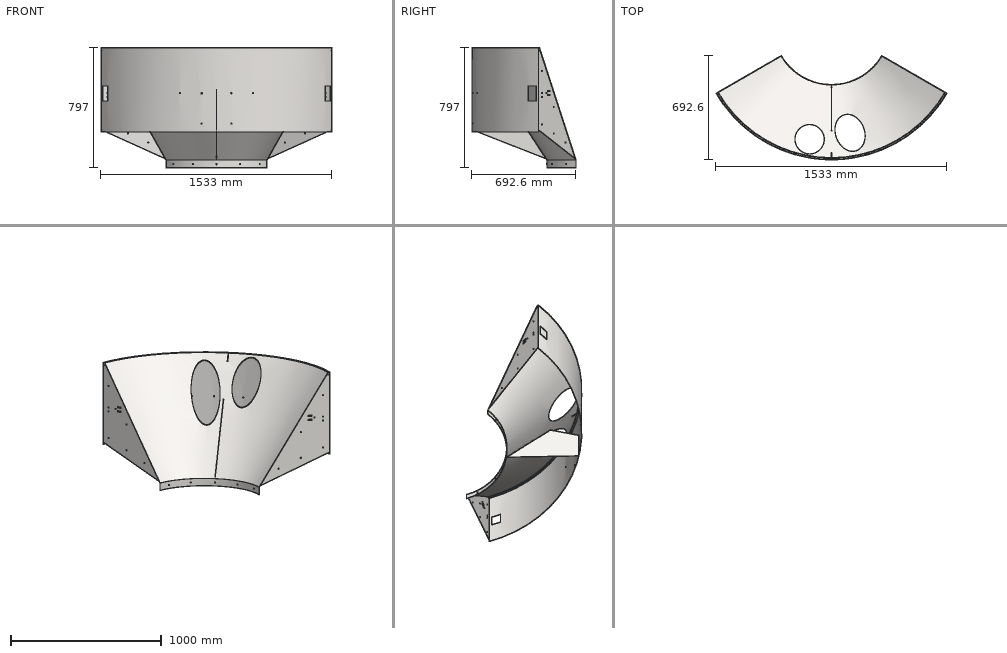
import cadquery as cq
import math

overall_width = 1533.0
overall_height = 797.0
half_angle = 60.0
wall_height = 560.0
collar_height = 50.0
collar_inner_radius = 385.0
sheet = 3.0
cone_level_thickness = 3.0
ring_width = 9.0
plate_top_gap = 18.0
underside_foot = 9.0
underside_angle = 21.4
screw_diameter = 6.0

wall_radius = overall_width / 2 / math.sin(math.radians(half_angle))
wall_inner_radius = wall_radius - sheet
wall_bottom = overall_height - wall_height
collar_radius = collar_inner_radius + sheet
ring_inner_radius = wall_inner_radius - ring_width
ring_bottom = overall_height - sheet
plate_top = overall_height - plate_top_gap
cone_foot_radius = collar_inner_radius + cone_level_thickness
cone_run = (ring_inner_radius - cone_foot_radius) / (overall_height - collar_height)
plate_foot_radius = cone_foot_radius + underside_foot * cone_run
plate_top_radius = ring_inner_radius - plate_top_gap * cone_run
underside_rise = (wall_inner_radius - plate_foot_radius) * math.tan(math.radians(underside_angle))
underside_top = collar_height + underside_foot + underside_rise

round_opening_angle = -11.0
round_opening_radius = 762.0
round_opening_diameter = 193.0
oval_opening_angle = 9.9
oval_opening_radius = 716.0
oval_opening_tilt = 10.0
oval_opening_length = 250.0
oval_opening_width = 192.0
cone_hole_diameter = 5.0
cone_hole_radii = (402.0, 690.0)
notch_length = 34.0
notch_width = 5.0

window_angle = 56.8
window_width = 63.0
window_height = 98.0
window_middle = 494.0
wall_upper_row = 495.0
wall_lower_row = 293.0
wall_holes = [
    (6.4, wall_upper_row),
    (16.0, wall_upper_row),
    (6.4, wall_lower_row),
]

collar_hole_angles = (-48.0, -24.0, 0.0, 24.0, 48.0)
collar_hole_height = 25.0

plate_holes = [
    (837.0, 644.0), (837.0, 497.0), (837.0, 470.0), (837.0, 288.0),
    (680.0, 405.0), (680.0, 228.0), (525.0, 167.0), (775.0, 497.0),
]
plate_slot_radius = 747.0
plate_slot_heights = (483.0, 510.0)
plate_slot_length = 28.0
plate_slot_width = 8.0

gusset_top = 518.0
wall_tab_levels = [(262.0, 297.0), (316.0, gusset_top)]
cone_tab_first = 443.0
cone_tab_pitch = 41.0
cone_tab_count = 4
cone_tab_length = 14.0

reach = 153.0


def sector(profile):
    """Revolve a (distance from axis, height) outline about Z over the hopper's sector."""
    turned = cq.Workplane("XZ").polyline(profile).close().revolve(2 * half_angle, (0, 0), (0, 1))
    return turned.rotate((0, 0, 0), (0, 0, 1), -90 - half_angle)


def at_angle(shape, angle):
    """Turn a shape made along +X so that it points at the given angle from -Y."""
    return shape.rotate((0, 0, 0), (0, 0, 1), angle - 90)


def block(length, width, height, radius, level):
    """A block along +X, centred at a distance from the axis and a height."""
    return cq.Workplane("XY").box(length, width, height).translate((radius, 0, level))


def radial_hole(radius, angle, level):
    """A screw-hole cutter pointing away from the axis."""
    pin = cq.Workplane("YZ").circle(screw_diameter / 2).extrude(reach / 2, both=True)
    return at_angle(pin.translate((radius, 0, level)), angle)


def upright_cutter(outline, radius, angle):
    """Extrude a flat outline to the full height at a distance from the axis."""
    return at_angle(outline.extrude(overall_height).translate((radius, 0, 0)), angle)


cavity = sector([
    (plate_foot_radius, collar_height + underside_foot),
    (wall_inner_radius, underside_top),
    (wall_inner_radius, plate_top),
    (plate_top_radius, plate_top),
])

cone_sheet = sector([
    (collar_inner_radius, collar_height),
    (cone_foot_radius, collar_height),
    (ring_inner_radius, overall_height),
    (ring_inner_radius - cone_level_thickness, overall_height),
])

wall_sheet = sector([
    (wall_inner_radius, wall_bottom),
    (wall_radius, wall_bottom),
    (wall_radius, overall_height),
    (wall_inner_radius, overall_height),
])

cone_tab_spaces = [
    at_angle(block(cone_tab_length, sheet, 2 * overall_height, cone_tab_first + i * cone_tab_pitch, 0), 0)
    for i in range(cone_tab_count)
]
wall_tab_spaces = [
    at_angle(block(reach, sheet, top - bottom, wall_radius, (top + bottom) / 2), 0)
    for bottom, top in wall_tab_levels
]


def make_collar():
    """The upright band around the foot of the cone."""
    collar = sector([
        (collar_inner_radius, 0),
        (collar_radius, 0),
        (collar_radius, collar_height),
        (collar_inner_radius, collar_height),
    ])
    for angle in collar_hole_angles:
        collar = collar.cut(radial_hole(collar_radius, angle, collar_hole_height))
    return collar


def make_cone():
    """The sloping chute with its two large openings and the passages for the gusset tabs."""
    round_outline = cq.Workplane("XY").circle(round_opening_diameter / 2)
    oval_outline = cq.Workplane("XY").ellipse(
        oval_opening_length / 2, oval_opening_width / 2, rotation_angle=oval_opening_tilt
    )
    cone = cone_sheet.cut(upright_cutter(round_outline, round_opening_radius, round_opening_angle))
    cone = cone.cut(upright_cutter(oval_outline, oval_opening_radius, oval_opening_angle))
    for radius in cone_hole_radii:
        small_outline = cq.Workplane("XY").circle(cone_hole_diameter / 2)
        cone = cone.cut(upright_cutter(small_outline, radius, 0))
    notch = cq.Workplane("XY").rect(2 * notch_length, notch_width)
    cone = cone.cut(upright_cutter(notch, ring_inner_radius, 0))
    for space in cone_tab_spaces:
        cone = cone.cut(space)
    return cone


def make_wall():
    """The upright outer wall with its windows, screw holes and tab passages."""
    wall = wall_sheet
    for space in wall_tab_spaces:
        wall = wall.cut(space)
    window = block(reach, window_width, window_height, wall_radius, window_middle)
    for side in (-1, 1):
        wall = wall.cut(at_angle(window, side * window_angle))
        for angle, level in wall_holes:
            wall = wall.cut(radial_hole(wall_radius, side * angle, level))
    return wall


def make_ring():
    """The flat ring that closes the gap between cone and wall at the rim."""
    return sector([
        (ring_inner_radius, ring_bottom),
        (wall_inner_radius, ring_bottom),
        (wall_inner_radius, overall_height),
        (ring_inner_radius, overall_height),
    ])


def make_end_plate(side):
    """The radial plate that closes the sector at one end (side is -1 or 1)."""
    slab = block(2 * wall_radius, sheet, 2 * overall_height, wall_radius, 0)
    slab = slab.translate((0, -side * sheet / 2, 0))
    holes = (
        cq.Workplane("XZ")
        .pushPoints(plate_holes)
        .circle(screw_diameter / 2)
        .extrude(reach / 2, both=True)
    )
    slots = (
        cq.Workplane("XZ")
        .pushPoints([(plate_slot_radius, level) for level in plate_slot_heights])
        .rect(plate_slot_length, plate_slot_width)
        .extrude(reach / 2, both=True)
    )
    slab = slab.cut(holes).cut(slots)
    return cavity.intersect(at_angle(slab, side * half_angle))


def make_gusset():
    """The middle rib, with tabs that end flush in the cone and the wall."""
    slab = at_angle(block(2 * wall_radius, sheet, 2 * gusset_top, wall_radius, 0), 0)
    gusset = cavity.intersect(slab)
    for space in cone_tab_spaces:
        gusset = gusset.union(cone_sheet.intersect(space))
    for space in wall_tab_spaces:
        gusset = gusset.union(wall_sheet.intersect(space))
    return gusset


collar = make_collar()
cone = make_cone()
wall = make_wall()
ring = make_ring()
end_plates = [make_end_plate(side) for side in (-1, 1)]
gusset = make_gusset()

result = cq.Compound.makeCompound([
    collar.solids().val(),
    cone.solids().val(),
    wall.solids().val(),
    ring.solids().val(),
    *[plate.solids().val() for plate in end_plates],
    gusset.solids().val(),
])